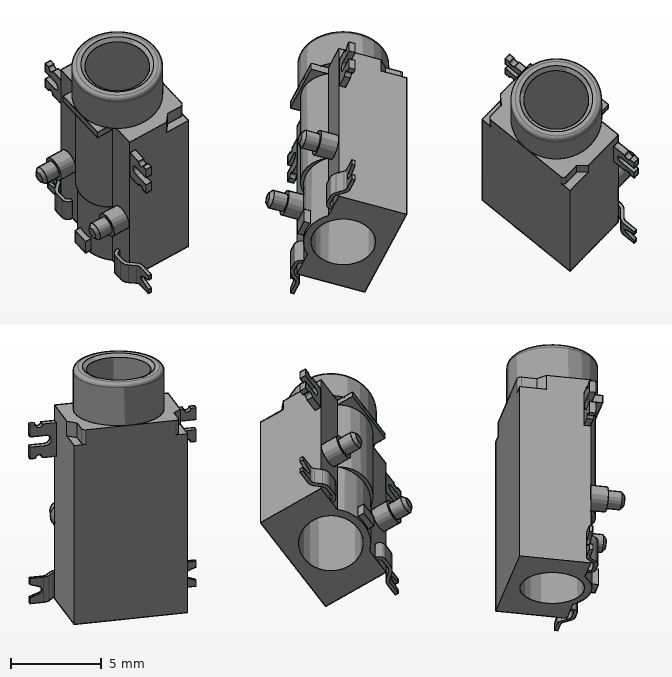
import cadquery as cq
import math

TOTAL_HEIGHT = 14.0
SPAN = 9.5

COLLAR_RADIUS = 2.5
COLLAR_HEIGHT = 2.5
COLLAR_ROUND = 0.25
BORE_RADIUS = 1.78
LEAD_IN_RADIUS = 2.0
LEAD_IN_DEPTH = 0.17

BLOCK_WIDTH = 6.5
BLOCK_BACK = COLLAR_RADIUS
BLOCK_FRONT = -1.5
BLOCK_HEIGHT = TOTAL_HEIGHT - COLLAR_HEIGHT

BULGE_WIDTH = BLOCK_WIDTH / 2
UPPER_BULGE_FRONT = -2.4
LOWER_BULGE_FRONT = -2.18
BULGE_STEP_Z = 4.5
FLANGE_THICKNESS = 0.46
FLANGE_FRONT = -COLLAR_RADIUS
KEY_WIDTH = 1.0
KEY_HEIGHT = 0.98
KEY_BOTTOM = 0.22

NOTCH_WALL_X = 2.77
NOTCH_WALL_END_Y = 1.43
NOTCH_MOUTH_Y = 1.0
NOTCH_DEPTH = 0.87
NOTCH_ROUND = 0.2

PEG_X = 2.5
PEG_Z = BULGE_STEP_Z
PEG_BASE_RADIUS = 0.7
PEG_BASE_FRONT = -COLLAR_RADIUS
PEG_TIP_RADIUS = 0.5
PEG_TIP_FRONT = -3.5
PEG_TIP_CHAMFER = 0.2

MOUNT_BACK = -1.1

LUG_THICKNESS = 0.36
LUG_HEIGHT = 2.0
LUG_BOTTOM = 8.6
LUG_SLOT_WIDTH = 0.6
LUG_SLOT_END_X = 3.54
LUG_BITE_X = 4.24
LUG_BITE_RADIUS = 0.2

CLIP_THICKNESS = 0.2
CLIP_HEIGHT = 1.5
CLIP_FOOT_FRONT = MOUNT_BACK - CLIP_THICKNESS
CLIP_NOSE_FRONT = -1.93
CLIP_FOOT_END_X = 3.98
CLIP_NOSE_OUTER_X = 3.01
CLIP_NOSE_INNER_X = 2.55
CLIP_FOOT_BEND_RADIUS = 0.3
CLIP_NOSE_BEND_RADIUS = 0.6
CLIP_CURL_RADIUS = 0.4
CLIP_MOUTH_WIDTH = 0.78
CLIP_NOTCH_END_X = 4.06
CLIP_NOTCH_RADIUS = 0.21

HALF_BLOCK = BLOCK_WIDTH / 2
HALF_SPAN = SPAN / 2
SIDES = (-1, 1)


def box(x_min, x_max, y_min, y_max, z_min, z_max):
    size = (x_max - x_min, y_max - y_min, z_max - z_min)
    return cq.Workplane("XY").box(*size, centered=False).translate((x_min, y_min, z_min))


def mirror_to_side(body, side):
    """Return the +X body itself, or its mirror image for the -X side."""
    return body if side > 0 else body.mirror("YZ")


def collar():
    return (
        cq.Workplane("XY")
        .workplane(offset=BLOCK_HEIGHT)
        .circle(COLLAR_RADIUS)
        .extrude(COLLAR_HEIGHT)
        .faces(">Z").edges().fillet(COLLAR_ROUND)
    )


def bulge(front, z_min, z_max):
    """Arched front wall, springing from the same two lines whatever its front reach."""
    half_width = BULGE_WIDTH / 2
    return (
        cq.Workplane("XY")
        .workplane(offset=z_min)
        .moveTo(-half_width, 0)
        .lineTo(-half_width, BLOCK_FRONT)
        .threePointArc((0, front), (half_width, BLOCK_FRONT))
        .lineTo(half_width, 0)
        .close()
        .extrude(z_max - z_min)
    )


def front_flange():
    half_width = BULGE_WIDTH / 2
    z_min = BLOCK_HEIGHT - FLANGE_THICKNESS
    return box(-half_width, half_width, FLANGE_FRONT, 0, z_min, BLOCK_HEIGHT)


def front_key():
    half_width = KEY_WIDTH / 2
    return box(-half_width, half_width, FLANGE_FRONT, BLOCK_FRONT, KEY_BOTTOM, KEY_BOTTOM + KEY_HEIGHT)


def peg(side):
    base = cq.Workplane("XZ").circle(PEG_BASE_RADIUS).extrude(-PEG_BASE_FRONT)
    tip = (
        cq.Workplane("XZ")
        .circle(PEG_TIP_RADIUS)
        .extrude(-PEG_TIP_FRONT)
        .faces("<Y").chamfer(PEG_TIP_CHAMFER)
    )
    return base.union(tip).translate((side * PEG_X, 0, PEG_Z))


def corner_notch(side):
    """Pocket at a rear top corner; its wall rounds over into the back face."""
    arc_start_y = BLOCK_BACK - NOTCH_ROUND
    notch = (
        cq.Workplane("XY")
        .workplane(offset=BLOCK_HEIGHT - NOTCH_DEPTH)
        .moveTo(HALF_BLOCK, NOTCH_MOUTH_Y)
        .lineTo(NOTCH_WALL_X, NOTCH_WALL_END_Y)
        .lineTo(NOTCH_WALL_X, arc_start_y)
        .radiusArc((NOTCH_WALL_X - NOTCH_ROUND, BLOCK_BACK), -NOTCH_ROUND)
        .lineTo(HALF_BLOCK, BLOCK_BACK)
        .close()
        .extrude(NOTCH_DEPTH)
    )
    return mirror_to_side(notch, side)


def bore():
    """Through bore with a conical lead-in at the collar mouth."""
    return (
        cq.Workplane("XZ")
        .lineTo(BORE_RADIUS, 0)
        .lineTo(BORE_RADIUS, TOTAL_HEIGHT - LEAD_IN_DEPTH)
        .lineTo(LEAD_IN_RADIUS, TOTAL_HEIGHT)
        .lineTo(0, TOTAL_HEIGHT)
        .close()
        .revolve(360, (0, 0, 0), (0, 1, 0))
    )


def make_housing():
    body = box(-HALF_BLOCK, HALF_BLOCK, BLOCK_FRONT, BLOCK_BACK, 0, BLOCK_HEIGHT)
    body = body.union(bulge(LOWER_BULGE_FRONT, 0, BULGE_STEP_Z))
    body = body.union(bulge(UPPER_BULGE_FRONT, BULGE_STEP_Z, BLOCK_HEIGHT))
    body = body.union(front_flange()).union(front_key()).union(collar())
    for side in SIDES:
        body = body.union(peg(side)).cut(corner_notch(side))
    return body.cut(bore())


def make_lug(side):
    """Plate on the housing side with an open slot and a bite out of each long edge."""
    y_front = MOUNT_BACK - LUG_THICKNESS
    top = LUG_BOTTOM + LUG_HEIGHT
    middle = LUG_BOTTOM + LUG_HEIGHT / 2
    slot_radius = LUG_SLOT_WIDTH / 2
    slot_centre_x = LUG_SLOT_END_X + slot_radius
    plate = box(HALF_BLOCK, HALF_SPAN, y_front, MOUNT_BACK, LUG_BOTTOM, top)
    slot = box(slot_centre_x, HALF_SPAN, y_front, MOUNT_BACK, middle - slot_radius, middle + slot_radius)
    round_cuts = (
        (slot_centre_x, middle, slot_radius),
        (LUG_BITE_X, LUG_BOTTOM, LUG_BITE_RADIUS),
        (LUG_BITE_X, top, LUG_BITE_RADIUS),
    )
    plate = plate.cut(slot)
    for x, z, radius in round_cuts:
        cutter = cq.Workplane("XZ", origin=(x, MOUNT_BACK, z)).circle(radius).extrude(LUG_THICKNESS)
        plate = plate.cut(cutter)
    return mirror_to_side(plate, side)


FOOT_BEND_CENTRE = cq.Vector(CLIP_FOOT_END_X, CLIP_FOOT_FRONT - CLIP_FOOT_BEND_RADIUS)
NOSE_BEND_CENTRE = cq.Vector(CLIP_NOSE_OUTER_X, CLIP_NOSE_FRONT + CLIP_NOSE_BEND_RADIUS)
CURL_CENTRE = cq.Vector(CLIP_NOSE_INNER_X, CLIP_NOSE_FRONT + CLIP_CURL_RADIUS)


def ramp_normal_angle():
    """Direction of the normal to the ramp that is tangent to both the foot and nose bends."""
    between = FOOT_BEND_CENTRE - NOSE_BEND_CENTRE
    radii = CLIP_FOOT_BEND_RADIUS + CLIP_NOSE_BEND_RADIUS
    return math.atan2(between.y, between.x) - math.acos(radii / between.Length)


def around(centre, radius, angle):
    return centre + cq.Vector(radius * math.cos(angle), radius * math.sin(angle))


def clip_strip():
    """Bent strip: flat foot, ramp, flat nose and a quarter curl back to the housing."""
    ramp = ramp_normal_angle()
    forward = -math.pi / 2
    foot_angle = ramp + math.pi
    foot_mid = (math.pi / 2 + foot_angle) / 2
    nose_mid = (ramp + forward) / 2
    curl_mid = (forward - math.pi) / 2

    foot_front = CLIP_FOOT_BEND_RADIUS
    foot_back = foot_front + CLIP_THICKNESS
    nose_front = CLIP_NOSE_BEND_RADIUS
    nose_back = nose_front - CLIP_THICKNESS
    curl_front = CLIP_CURL_RADIUS
    curl_back = curl_front - CLIP_THICKNESS

    nose_front_start = around(NOSE_BEND_CENTRE, nose_front, ramp)
    foot_back_start = around(FOOT_BEND_CENTRE, foot_back, foot_angle)

    return (
        cq.Workplane("XY")
        .moveTo(HALF_SPAN, CLIP_FOOT_FRONT)
        .lineTo(CLIP_FOOT_END_X, CLIP_FOOT_FRONT)
        .threePointArc(
            around(FOOT_BEND_CENTRE, foot_front, foot_mid),
            around(FOOT_BEND_CENTRE, foot_front, foot_angle),
        )
        .lineTo(nose_front_start.x, nose_front_start.y)
        .threePointArc(
            around(NOSE_BEND_CENTRE, nose_front, nose_mid),
            around(NOSE_BEND_CENTRE, nose_front, forward),
        )
        .lineTo(CLIP_NOSE_INNER_X, CLIP_NOSE_FRONT)
        .threePointArc(
            around(CURL_CENTRE, curl_front, curl_mid),
            around(CURL_CENTRE, curl_front, math.pi),
        )
        .lineTo(CLIP_NOSE_INNER_X - curl_front, BLOCK_FRONT)
        .lineTo(CLIP_NOSE_INNER_X - curl_back, BLOCK_FRONT)
        .lineTo(CLIP_NOSE_INNER_X - curl_back, CURL_CENTRE.y)
        .threePointArc(
            around(CURL_CENTRE, curl_back, curl_mid),
            around(CURL_CENTRE, curl_back, forward),
        )
        .lineTo(CLIP_NOSE_OUTER_X, CLIP_NOSE_FRONT + CLIP_THICKNESS)
        .threePointArc(
            around(NOSE_BEND_CENTRE, nose_back, nose_mid),
            around(NOSE_BEND_CENTRE, nose_back, ramp),
        )
        .lineTo(foot_back_start.x, foot_back_start.y)
        .threePointArc(
            around(FOOT_BEND_CENTRE, foot_back, foot_mid),
            around(FOOT_BEND_CENTRE, foot_back, math.pi / 2),
        )
        .lineTo(HALF_SPAN, MOUNT_BACK)
        .close()
        .extrude(CLIP_HEIGHT)
    )


def clip_notch():
    """V notch in the foot end; its sides are tangent to the round at its root."""
    middle = CLIP_HEIGHT / 2
    half_mouth = CLIP_MOUTH_WIDTH / 2
    root_x = CLIP_NOTCH_END_X + CLIP_NOTCH_RADIUS
    run = HALF_SPAN - root_x
    mouth_direction = math.atan2(half_mouth, run)
    tangent = mouth_direction + math.acos(CLIP_NOTCH_RADIUS / math.hypot(run, half_mouth))
    tangent_x = root_x + CLIP_NOTCH_RADIUS * math.cos(tangent)
    tangent_z = CLIP_NOTCH_RADIUS * math.sin(tangent)
    return (
        cq.Workplane("XZ", origin=(0, MOUNT_BACK, 0))
        .moveTo(HALF_SPAN, middle - half_mouth)
        .lineTo(tangent_x, middle - tangent_z)
        .threePointArc((CLIP_NOTCH_END_X, middle), (tangent_x, middle + tangent_z))
        .lineTo(HALF_SPAN, middle + half_mouth)
        .close()
        .extrude(CLIP_THICKNESS)
    )


def make_clip(side):
    return mirror_to_side(clip_strip().cut(clip_notch()), side)


housing = make_housing()
lugs = [make_lug(side) for side in SIDES]
clips = [make_clip(side) for side in SIDES]

result = cq.Compound.makeCompound([
    housing.val(),
    *[lug.val() for lug in lugs],
    *[clip.val() for clip in clips],
])